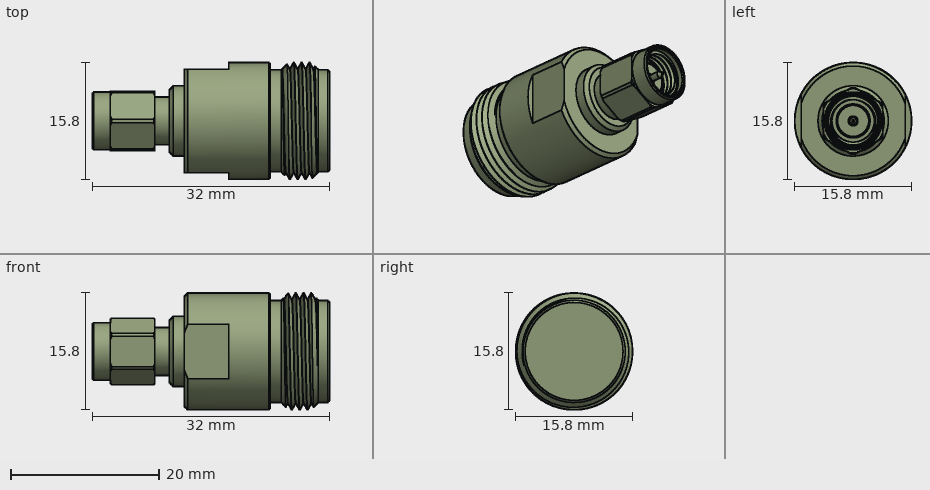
import cadquery as cq
import math


total_length = 32.0
mm_per_inch = 25.4
join_overlap = 0.5

sleeve_diameter = 7.8
sleeve_chamfer = 0.2
hex_start = 2.42
hex_length = 6.0
hex_end = hex_start + hex_length
hex_across_flats = 8.0
hex_across_corners = 9.0
hex_end_chamfer = 0.18

neck_diameter = 6.5
collar_start = 10.35
collar_diameter = 9.5
collar_chamfer = 0.55

body_start = 12.35
body_end = 24.0
body_diameter = 15.8
body_front_chamfer = 0.5
body_rear_chamfer = 0.25
flat_length = 6.0
width_across_flats = 14.0

barrel_diameter = 13.8
barrel_end_chamfer = 0.3
thread_start = 25.46
thread_end = 30.47
thread_diameter = body_diameter
thread_pitch = mm_per_inch / 24
thread_depth = 0.87
thread_crest_width = 0.06
thread_root_width = 0.06
thread_lead_in = 0.7
thread_cutter_overshoot = 0.05

mouth_diameter = 6.66
mouth_depth = 0.9
mouth_chamfer = 0.17
socket_depth = 5.0
nut_thread_major_diameter = 6.5
nut_thread_minor_diameter = 5.72
nut_thread_pitch = mm_per_inch / 36
nut_thread_crest_width = 0.1
nut_thread_root_width = 0.06
nut_thread_lead_in = 1.05
nut_thread_cutter_overshoot = 0.03

plug_start = 2.68
plug_diameter = 4.58
plug_recess_diameter = 4.2
plug_recess_depth = 0.1

pin_start = 0.57
pin_diameter = 0.92
pin_tip_diameter = 0.3
pin_tip_length = 0.6
pin_gap_diameter = 1.1
pin_gap_chamfer = 0.1
pin_gap_depth = 1.0


def rod(diameter, start, end):
    """Solid cylinder along X."""
    return cq.Workplane("YZ", origin=(start, 0, 0)).circle(diameter / 2).extrude(end - start)


def cone(start_diameter, end_diameter, start, length):
    """Truncated cone along X."""
    position = cq.Vector(start, 0, 0)
    solid = cq.Solid.makeCone(start_diameter / 2, end_diameter / 2, length, position, cq.Vector(1, 0, 0))
    return cq.Workplane(solid)


def external_groove():
    """Helical V groove swept about X, cut into the barrel thread from outside."""
    start = thread_start - thread_lead_in
    height = thread_end + thread_pitch - start
    crest_radius = thread_diameter / 2
    root_radius = crest_radius - thread_depth
    half_mouth = (thread_pitch - thread_crest_width) / 2
    half_root = thread_root_width / 2
    profile = [
        (start - half_mouth, crest_radius + thread_cutter_overshoot),
        (start - half_mouth, crest_radius),
        (start - half_root, root_radius),
        (start + half_root, root_radius),
        (start + half_mouth, crest_radius),
        (start + half_mouth, crest_radius + thread_cutter_overshoot),
    ]
    helix = cq.Wire.makeHelix(thread_pitch, height, crest_radius, cq.Vector(start, 0, 0), cq.Vector(1, 0, 0))
    first_point = helix.startPoint()
    turn = math.degrees(math.atan2(first_point.z, first_point.y))
    section = cq.Workplane("XY").polyline(profile).close().val()
    section = section.rotate(cq.Vector(0, 0, 0), cq.Vector(1, 0, 0), turn)
    return cq.Workplane(section).toPending().sweep(cq.Workplane(helix), isFrenet=True)


def internal_groove():
    """Helical V groove bounded by ruled faces, cut into the socket ring from inside."""
    start = mouth_depth - nut_thread_lead_in
    height = socket_depth + nut_thread_pitch - start
    crest_radius = nut_thread_minor_diameter / 2
    root_radius = nut_thread_major_diameter / 2
    half_mouth = (nut_thread_pitch - nut_thread_crest_width) / 2
    half_root = nut_thread_root_width / 2
    flank_slope = (half_mouth - half_root) / (root_radius - crest_radius)
    half_inner = half_mouth + flank_slope * nut_thread_cutter_overshoot
    inner_radius = crest_radius - nut_thread_cutter_overshoot
    corners = [
        (start - half_inner, inner_radius),
        (start - half_root, root_radius),
        (start + half_root, root_radius),
        (start + half_inner, inner_radius),
    ]
    axis = cq.Vector(1, 0, 0)
    edges = []
    for x, radius in corners:
        helix = cq.Wire.makeHelix(nut_thread_pitch, height, radius, cq.Vector(x, 0, 0), axis)
        edges.append(helix.Edges()[0])
    faces = [cq.Face.makeRuledSurface(edges[i - 1], edges[i]) for i in range(len(edges))]
    for end_point in (cq.Edge.startPoint, cq.Edge.endPoint):
        outline = cq.Wire.makePolygon([end_point(edge) for edge in edges], close=True)
        faces.append(cq.Face.makeFromWires(outline))
    return cq.Workplane(cq.Solid.makeSolid(cq.Shell.makeShell(faces)))


def make_hex():
    """Hexagon with corners up and down, turned down at its corners and chamfered at both ends."""
    full_corners = hex_across_flats / math.cos(math.pi / 6)
    prism = cq.Workplane("YZ", origin=(hex_start, 0, 0)).polygon(6, full_corners).extrude(hex_length)
    prism = prism.rotate((0, 0, 0), (1, 0, 0), 90)
    turned_limit = rod(hex_across_corners, hex_start, hex_end).edges().chamfer(hex_end_chamfer)
    return prism.intersect(turned_limit)


def make_nut_thread():
    """Internally threaded ring that lines the socket behind its mouth."""
    ring = rod(mouth_diameter, mouth_depth, socket_depth)
    ring = ring.cut(rod(nut_thread_minor_diameter, mouth_depth, socket_depth))
    return ring.cut(internal_groove())


def make_nut():
    """Hex nut with a chamfered socket and an internal thread."""
    sleeve = rod(sleeve_diameter, 0, hex_end).faces("<X").chamfer(sleeve_chamfer)
    socket = rod(mouth_diameter, 0, socket_depth)
    rim = cone(mouth_diameter + 2 * mouth_chamfer, mouth_diameter, 0, mouth_chamfer)
    return sleeve.union(make_hex()).cut(socket).cut(rim).union(make_nut_thread())


def make_plug():
    """Contact tube with a shallow conical recess, the insulator face and the centre pin."""
    plug = rod(plug_diameter, plug_start, socket_depth + join_overlap)
    recess_mouth = plug_recess_diameter + 2 * plug_recess_depth
    recess = cone(recess_mouth, plug_recess_diameter, plug_start, plug_recess_depth)
    insulator_face = plug_start + plug_recess_depth
    gap = rod(pin_gap_diameter, insulator_face, insulator_face + pin_gap_depth)
    gap_mouth_diameter = pin_gap_diameter + 2 * pin_gap_chamfer
    gap_mouth = cone(gap_mouth_diameter, pin_gap_diameter, insulator_face, pin_gap_chamfer)
    tip = cone(pin_tip_diameter, pin_diameter, pin_start, pin_tip_length)
    pin = rod(pin_diameter, pin_start + pin_tip_length, socket_depth)
    return plug.cut(recess).cut(gap).cut(gap_mouth).union(pin).union(tip)


def make_neck_and_collar():
    """Neck behind the nut and the chamfered collar in front of the body."""
    neck = rod(neck_diameter, hex_end - join_overlap, collar_start + join_overlap)
    collar = rod(collar_diameter, collar_start, body_start + join_overlap)
    return neck.union(collar.faces("<X").chamfer(collar_chamfer))


def make_body():
    """Round body with a wrench flat on each Y side of its front part."""
    body = rod(body_diameter, body_start, body_end)
    body = body.faces("<X").chamfer(body_front_chamfer).faces(">X").chamfer(body_rear_chamfer)
    flat_end = body_start + flat_length
    flatted_part = cq.Workplane("XY").box(flat_length, width_across_flats, body_diameter)
    flatted_part = flatted_part.translate((body_start + flat_length / 2, 0, 0))
    round_part = rod(body_diameter, flat_end, body_end)
    return body.intersect(flatted_part.union(round_part))


def make_threaded_barrel():
    """Barrel with a chamfered end and a thread tapered at both of its ends."""
    barrel = rod(barrel_diameter, body_end - join_overlap, total_length)
    barrel = barrel.faces(">X").chamfer(barrel_end_chamfer)
    thread_taper = (thread_diameter - barrel_diameter) / 2
    thread = rod(thread_diameter, thread_start, thread_end).edges().chamfer(thread_taper)
    return barrel.union(thread.cut(external_groove()))


result = make_nut().union(make_plug()).union(make_neck_and_collar())
result = result.union(make_body()).union(make_threaded_barrel())